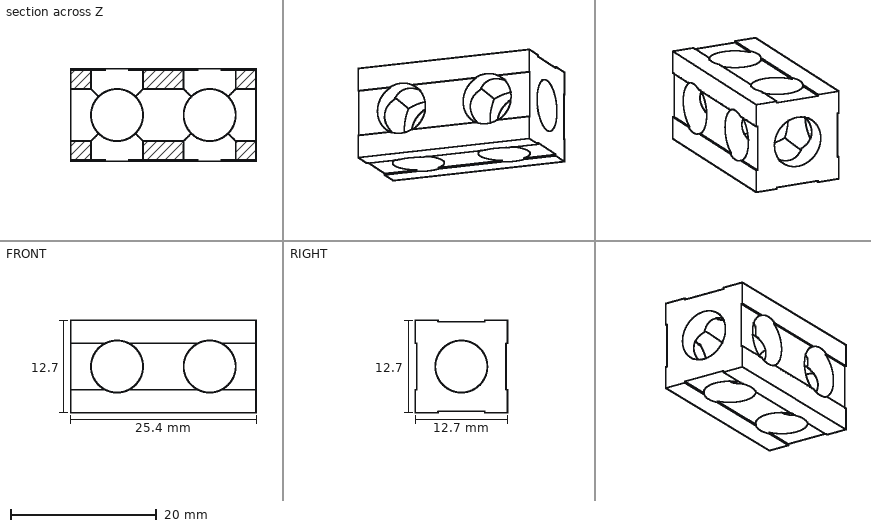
import cadquery as cq

cell = 12.7
cell_count = 2
hole_diameter = 7.1
groove_width = cell / 2
groove_depth = 0.2

length = cell * cell_count
cell_centers = [(i - (cell_count - 1) / 2) * cell for i in range(cell_count)]


def hole_row(plane):
    """One through hole per cell, normal to the given plane."""
    return (
        cq.Workplane(plane)
        .pushPoints([(x, 0) for x in cell_centers])
        .circle(hole_diameter / 2)
        .extrude(cell, both=True)
    )


def groove(angle):
    """Shallow full-length groove, turned about the X axis onto one long face."""
    return (
        cq.Workplane("XY")
        .box(length, groove_width, 2 * groove_depth)
        .translate((0, 0, cell / 2))
        .rotate((0, 0, 0), (1, 0, 0), angle)
    )


beam = cq.Workplane("XY").box(length, cell, cell)

for angle in (0, 90, 180, 270):
    beam = beam.cut(groove(angle))

for plane in ("XY", "XZ"):
    beam = beam.cut(hole_row(plane))
end_hole = cq.Workplane("YZ").circle(hole_diameter / 2).extrude(length, both=True)

result = beam.cut(end_hole)